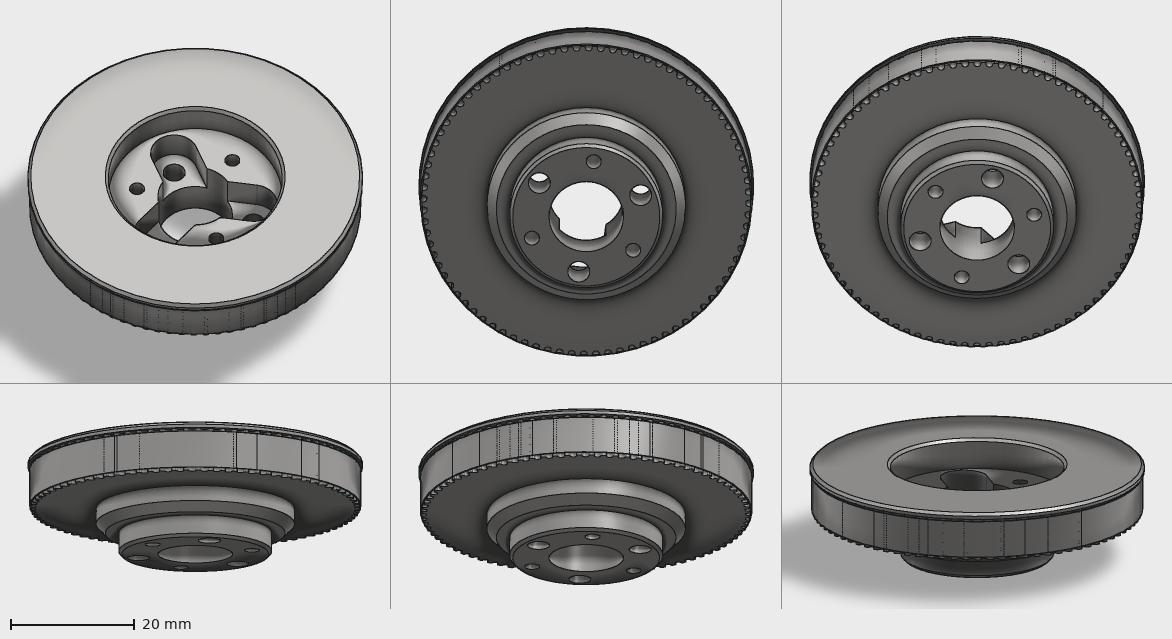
import cadquery as cq
import math

total_height = 15.5
flange_thickness = 1.0
toothed_height = 6.95
upper_hub_height = 4.0
edge_chamfer = 0.5
hub_chamfer = 1.5

flange_bottom = total_height - flange_thickness
toothed_bottom = flange_bottom - toothed_height
upper_hub_bottom = toothed_bottom - upper_hub_height

flange_radius = 54 / 2
band_radius = 53.45 / 2
tooth_tip_radius = 53.0 / 2
upper_hub_radius = 32.0 / 2
lower_hub_radius = 24.7 / 2

band_inset = 0.5
band_bottom = toothed_bottom + band_inset
band_top = flange_bottom - band_inset

tooth_count = 84
root_round = 0.55
tip_round = 0.2

recess_radius = 28.0 / 2
recess_depth = 5.0
recess_floor = total_height - recess_depth
bore_radius = 12.0 / 2
hole_circle_radius = 9.5
small_hole_diameter = 2.4
large_hole_diameter = 3.5
slot_radius = 3.8
slot_depth = 4.95
pattern_count = 3
small_hole_start = 0
slot_start = 60


def cylinder(radius, bottom, top):
    return cq.Workplane("XY").workplane(offset=bottom).circle(radius).extrude(top - bottom)


def tooth_space():
    """One tooth space pointing along +X: round root, tip rounds, closed by the tip circle."""
    half_mouth = root_round + tip_round
    mouth_x = math.sqrt(tooth_tip_radius**2 - half_mouth**2)
    root_center_x = mouth_x - tip_round
    tip_middle_x = mouth_x - tip_round * (1 - math.sqrt(0.5))
    tip_middle_y = half_mouth - tip_round * math.sqrt(0.5)
    return (
        cq.Workplane("XY")
        .workplane(offset=toothed_bottom)
        .moveTo(mouth_x, -half_mouth)
        .threePointArc((tip_middle_x, -tip_middle_y), (root_center_x, -root_round))
        .threePointArc((root_center_x - root_round, 0), (root_center_x, root_round))
        .threePointArc((tip_middle_x, tip_middle_y), (mouth_x, half_mouth))
        .threePointArc((tooth_tip_radius, 0), (mouth_x, -half_mouth))
        .close()
        .extrude(toothed_height)
    )


def toothed_ring():
    ring = cylinder(tooth_tip_radius, toothed_bottom, flange_bottom)
    ring = ring.union(cylinder(band_radius, band_bottom, band_top))
    space = tooth_space()
    pitch = 360 / tooth_count
    spaces = [
        space.rotate((0, 0, 0), (0, 0, 1), (index + 0.5) * pitch).val()
        for index in range(tooth_count)
    ]
    return ring.cut(cq.Workplane(cq.Compound.makeCompound(spaces)))


def flange():
    return cylinder(flange_radius, flange_bottom, total_height).faces(">Z").edges().chamfer(edge_chamfer)


def hub():
    upper = cylinder(upper_hub_radius, upper_hub_bottom, toothed_bottom)
    upper = upper.faces("<Z").edges().chamfer(hub_chamfer)
    lower = cylinder(lower_hub_radius, 0, upper_hub_bottom)
    lower = lower.faces("<Z").edges().chamfer(edge_chamfer)
    return upper.union(lower)


def recess():
    pocket = cylinder(recess_radius, recess_floor, total_height)
    rim_bottom = cq.Vector(0, 0, total_height - edge_chamfer)
    rim = cq.Solid.makeCone(recess_radius, recess_radius + edge_chamfer, edge_chamfer, rim_bottom)
    return pocket.union(cq.Workplane(rim))


def hole_ring(diameter, start):
    return (
        cq.Workplane("XY")
        .polarArray(hole_circle_radius, start, 360, pattern_count)
        .circle(diameter / 2)
        .extrude(total_height)
    )


def slot(angle):
    """Round-ended slot running outwards from the bore, sunk into the recess floor."""
    return (
        cq.Workplane("XY")
        .workplane(offset=recess_floor - slot_depth)
        .center(hole_circle_radius / 2, 0)
        .slot2D(hole_circle_radius + 2 * slot_radius, 2 * slot_radius)
        .extrude(slot_depth)
        .rotate((0, 0, 0), (0, 0, 1), angle)
    )


result = toothed_ring().union(flange()).union(hub())
result = result.cut(recess()).cut(cylinder(bore_radius, 0, total_height))
for index in range(pattern_count):
    result = result.cut(slot(slot_start + index * 360 / pattern_count))
result = result.cut(hole_ring(large_hole_diameter, slot_start))
result = result.cut(hole_ring(small_hole_diameter, small_hole_start))